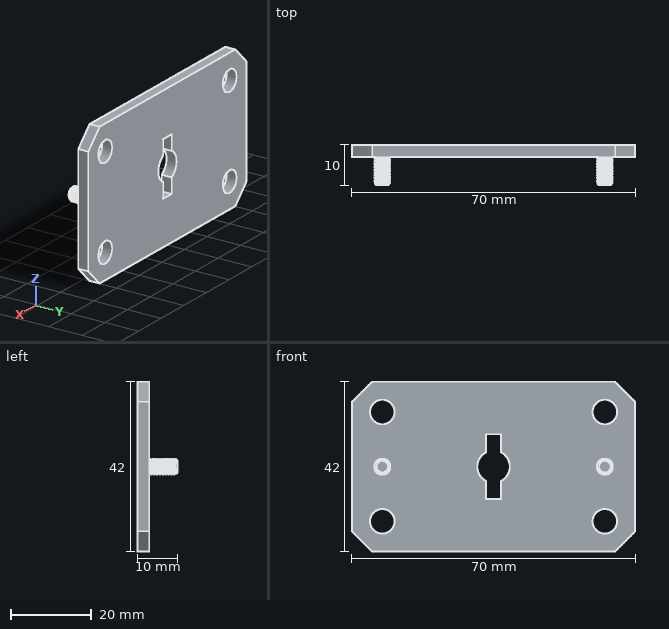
import cadquery as cq
import math

PLATE_LENGTH = 70.0
PLATE_HEIGHT = 42.0
PLATE_THICKNESS = 3.0
CORNER_CUT = 5.0

COLUMN_X = 27.5
HOLE_ROW_Z = 13.5
HOLE_DIAMETER = 6.0

KEYHOLE_DIAMETER = 8.0
SLOT_WIDTH = 3.65
SLOT_HEIGHT = 15.95

TOTAL_DEPTH = 10.0
STUD_LENGTH = TOTAL_DEPTH - PLATE_THICKNESS
STUD_DIAMETER = 4.0
TIP_DIAMETER = 2.9

PITCH = 0.7
FLANK_SLOPE = math.tan(math.radians(30))
CREST_FLAT = PITCH / 8
ROOT_FLAT = PITCH / 4
THREAD_DEPTH = (PITCH - CREST_FLAT - ROOT_FLAT) / 2 / FLANK_SLOPE
THREAD_ANGLE = 10.0

STUD_RADIUS = STUD_DIAMETER / 2
RIDGE_OVERRUN = 2 * PITCH


def make_plate():
    """Plate with cut corners, front face on Y = 0, thickness toward +Y."""
    plate = (
        cq.Workplane("XZ")
        .rect(PLATE_LENGTH, PLATE_HEIGHT)
        .extrude(-PLATE_THICKNESS)
        .edges("|Y")
        .chamfer(CORNER_CUT)
    )
    mounting_holes = (
        cq.Workplane("XZ")
        .rect(2 * COLUMN_X, 2 * HOLE_ROW_Z, forConstruction=True)
        .vertices()
        .circle(HOLE_DIAMETER / 2)
        .extrude(-PLATE_THICKNESS)
    )
    round_hole = cq.Workplane("XZ").circle(KEYHOLE_DIAMETER / 2).extrude(-PLATE_THICKNESS)
    slot = cq.Workplane("XZ").rect(SLOT_WIDTH, SLOT_HEIGHT).extrude(-PLATE_THICKNESS)
    return plate.cut(mounting_holes).cut(round_hole).cut(slot)


def make_thread_ridge():
    """Helical ridge around the Z axis, longer than the stud and rooted a little inside its core."""
    path = cq.Wire.makeHelix(PITCH, STUD_LENGTH + 2 * RIDGE_OVERRUN, STUD_RADIUS)
    crest_half = CREST_FLAT / 2
    base_half = (PITCH - ROOT_FLAT / 2) / 2
    base_radius = STUD_RADIUS - (base_half - crest_half) / FLANK_SLOPE
    ridge = (
        cq.Workplane("XZ")
        .polyline(
            [
                (base_radius, -base_half),
                (STUD_RADIUS, -crest_half),
                (STUD_RADIUS, crest_half),
                (base_radius, base_half),
            ]
        )
        .close()
        .sweep(cq.Workplane(obj=path), isFrenet=True)
    )
    return ridge.translate((0, 0, -RIDGE_OVERRUN))


def make_stud_envelope():
    """Space that the stud may fill: flat at both ends, with a 45 degree cone at the tip."""
    wide_radius = STUD_DIAMETER
    tip_radius = TIP_DIAMETER / 2
    return (
        cq.Workplane("XZ")
        .polyline(
            [
                (0, 0),
                (wide_radius, 0),
                (wide_radius, STUD_LENGTH - (wide_radius - tip_radius)),
                (tip_radius, STUD_LENGTH),
                (0, STUD_LENGTH),
            ]
        )
        .close()
        .revolve(360, (0, 0, 0), (0, 1, 0))
    )


def make_stud():
    """Threaded stud standing on the plate's front face at the origin, pointing toward -Y."""
    core_overrun = RIDGE_OVERRUN + PITCH
    core = (
        cq.Workplane("XY")
        .workplane(offset=-core_overrun)
        .circle(STUD_RADIUS - THREAD_DEPTH)
        .extrude(STUD_LENGTH + 2 * core_overrun)
    )
    ridge = make_thread_ridge().rotate((0, 0, 0), (0, 0, 1), THREAD_ANGLE)
    threaded = core.union(ridge, clean=False)
    trimmed = threaded.intersect(make_stud_envelope(), clean=False)
    return trimmed.rotate((0, 0, 0), (1, 0, 0), 90).solids().val()


plate = make_plate().solids().val()
stud = make_stud()
studs = [stud.translate(cq.Vector(x, 0, 0)) for x in (-COLUMN_X, COLUMN_X)]

result = cq.Compound.makeCompound([plate, *studs])